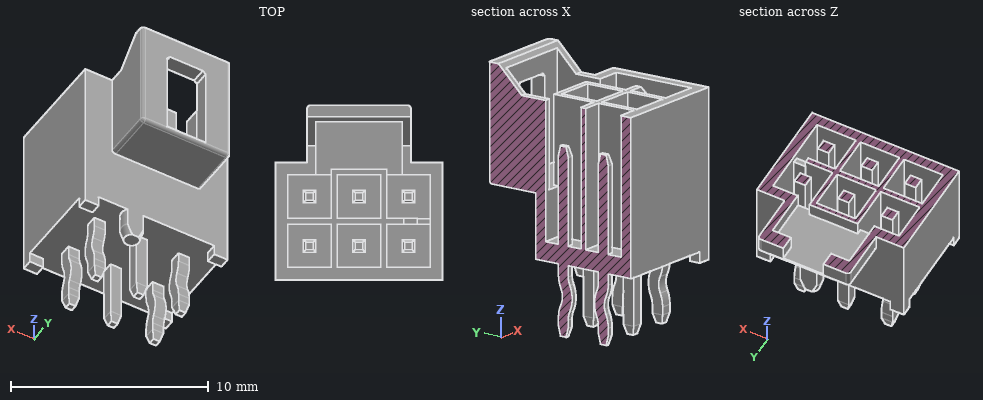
import cadquery as cq
import math


pitch = 2.5
column_places = (-pitch, 0, pitch)
row_places = (-pitch / 2, pitch / 2)

housing_width = 8.45
housing_front = -2.98
housing_back = 2.98
housing_top = 9.09
standoff = 0.59
standoff_gap_x = 6.85
standoff_gap_y = 4.75

column_wall = 0.29
row_wall = 0.32
cell_width = pitch - column_wall
cell_depth = pitch - row_wall
cell_floor = 1.65
cavity_right = pitch + cell_width / 2
cavity_back = pitch / 2 + cell_depth / 2

key_slope_start = 2.26
key_gap_start = 2.93
key_slope_height = key_gap_start - key_slope_start
key_rib_thickness = 0.29
key_rib_top = 4.66

tab_width = 5.26
tab_back = 5.87
tab_bottom = 4.07
tab_top = 10.52
tab_lip = 0.59
tab_slope_run = 1.45
tab_edge_radius = 0.19
tab_wall_back = 0.85
tab_inner_width = 4.37
tab_floor = 4.3
window_width = 2.28
window_top = 9.2
window_chamfer = 0.16

pin_size = 0.65
pin_tip_size = 0.37
pin_taper = 0.53
pin_top = 6.85
pin_bottom = -3.2
shank_top = pin_top - pin_taper
shank_bottom = pin_bottom + pin_taper
bend_radius = 1.37
bend_offset = 0.25
bend_center_z = -1.1

peg_x = pitch / 2
peg_y = 2.6
peg_diameter = 1.19
peg_tip_diameter = 0.82
peg_taper_start = -0.4
peg_bottom = -1.03


def block(x_min, x_max, y_min, y_max, z_min, z_max):
    """Box between the given limits."""
    size = (x_max - x_min, y_max - y_min, z_max - z_min)
    return cq.Workplane("XY").box(*size, centered=False).translate((x_min, y_min, z_min))


def wide_block(width, y_min, y_max, z_min, z_max):
    """Box centred on X = 0."""
    return block(-width / 2, width / 2, y_min, y_max, z_min, z_max)


def make_housing():
    """Solid housing standing on four corner feet."""
    housing = wide_block(housing_width, housing_front, housing_back, 0, housing_top)
    gap_y = standoff_gap_y / 2
    along_x = wide_block(housing_width, -gap_y, gap_y, 0, standoff)
    along_y = wide_block(standoff_gap_x, housing_front, housing_back, 0, standoff)
    return housing.cut(along_x).cut(along_y)


def make_tab():
    """Solid latch tab with rounded outer edges and a slope at its top."""
    tab = wide_block(tab_width, housing_back, tab_back, tab_bottom, tab_top)
    tab = tab.edges("(|Z and >Y) or (<Z and (not <Y))").fillet(tab_edge_radius)
    slope_start = tab_back - tab_lip
    slope_end = slope_start - tab_slope_run
    cutter = (
        cq.Workplane("YZ")
        .moveTo(slope_start, tab_top)
        .lineTo(slope_end, housing_top)
        .lineTo(housing_back, housing_top)
        .lineTo(housing_back, tab_top)
        .close()
        .extrude(tab_width / 2, both=True)
    )
    return tab.cut(cutter)


def make_tab_cavity():
    """Hollow of the tab, left solid where the back wall of the middle cell stands."""
    cavity = wide_block(tab_inner_width, cavity_back, tab_back - tab_wall_back, tab_floor, tab_top)
    middle_cell_wall = wide_block(
        cell_width + 2 * column_wall, cavity_back, cavity_back + column_wall, tab_floor, housing_top
    )
    return cavity.cut(middle_cell_wall)


def make_tab_window():
    """Opening through the back wall of the tab, chamfered at its top corners."""
    window = wide_block(window_width, tab_back - tab_wall_back, tab_back, tab_floor, window_top)
    return window.edges("|Y and >Z").chamfer(window_chamfer)


def make_cells():
    """Six square contact cells."""
    centers = [(x, y) for x in column_places for y in row_places]
    return (
        cq.Workplane("XY", origin=(0, 0, cell_floor))
        .pushPoints(centers)
        .rect(cell_width, cell_depth)
        .extrude(housing_top - cell_floor)
    )


def make_key_gap():
    """Gap in the row wall: a slope, then a drop to a thin rib."""
    opening = (
        cq.Workplane("XZ", origin=(0, row_wall / 2, 0))
        .moveTo(key_slope_start, housing_top)
        .lineTo(key_gap_start, housing_top - key_slope_height)
        .lineTo(key_gap_start, cell_floor)
        .lineTo(cavity_right, cell_floor)
        .lineTo(cavity_right, housing_top)
        .close()
        .extrude(row_wall)
    )
    rib_front = -row_wall / 2
    rib = block(
        key_gap_start, cavity_right, rib_front, rib_front + key_rib_thickness, cell_floor, key_rib_top
    )
    return opening.cut(rib)


def pin_tip(z_base, z_end):
    """Square taper from the pin section at z_base to the tip at z_end."""
    return (
        cq.Workplane("XY", origin=(0, 0, z_base))
        .rect(pin_size, pin_size)
        .workplane(offset=z_end - z_base)
        .rect(pin_tip_size, pin_tip_size)
        .loft(ruled=True)
    )


def straight_shank():
    """Square shank without a bend."""
    half = pin_size / 2
    return wide_block(pin_size, -half, half, shank_bottom, shank_top)


def bent_shank():
    """Shank with a bulge towards +Y made of equal tangent arcs about its centre line."""
    angle = math.acos(1 - bend_offset / (2 * bend_radius))
    half_length = 2 * bend_radius * math.sin(angle)

    def face_points(side):
        """Ends and middles of the three arcs of one face, from top to bottom."""
        root_radius = bend_radius - side
        crown_radius = bend_radius + side

        def root(turn, end):
            y = bend_radius - root_radius * math.cos(turn)
            return (y, bend_center_z + end * (half_length - root_radius * math.sin(turn)))

        crown = (bend_offset - bend_radius + crown_radius, bend_center_z)
        upper = [root(0, 1), root(angle / 2, 1), root(angle, 1)]
        lower = [root(angle, -1), root(angle / 2, -1), root(0, -1)]
        return upper + [crown] + lower

    half = pin_size / 2
    back = face_points(half)
    front = face_points(-half)[::-1]
    return (
        cq.Workplane("YZ")
        .moveTo(half, shank_top)
        .lineTo(*back[0])
        .threePointArc(back[1], back[2])
        .threePointArc(back[3], back[4])
        .threePointArc(back[5], back[6])
        .lineTo(half, shank_bottom)
        .lineTo(-half, shank_bottom)
        .lineTo(*front[0])
        .threePointArc(front[1], front[2])
        .threePointArc(front[3], front[4])
        .threePointArc(front[5], front[6])
        .lineTo(-half, shank_top)
        .close()
        .extrude(half, both=True)
    )


def make_pin(shank):
    """Shank with a taper at each end."""
    return shank.union(pin_tip(shank_top, pin_top)).union(pin_tip(shank_bottom, pin_bottom))


def make_peg():
    """Round peg with a tapered end, cut flat at the back of the housing."""
    radius = peg_diameter / 2
    peg = (
        cq.Workplane("XZ")
        .moveTo(0, standoff)
        .lineTo(radius, standoff)
        .lineTo(radius, peg_taper_start)
        .lineTo(peg_tip_diameter / 2, peg_bottom)
        .lineTo(0, peg_bottom)
        .close()
        .revolve(360, (0, 0, 0), (0, 1, 0))
        .translate((peg_x, peg_y, 0))
    )
    beyond_back = block(
        peg_x - radius, peg_x + radius, housing_back, housing_back + radius, peg_bottom, standoff
    )
    return peg.cut(beyond_back)


result = make_housing().union(make_tab())
result = result.cut(make_cells()).cut(make_key_gap())
result = result.cut(make_tab_cavity()).cut(make_tab_window())
result = result.union(make_peg())

straight_pin = make_pin(straight_shank())
bent_pin = make_pin(bent_shank())
for column_x in column_places:
    for row_y in row_places:
        pin = straight_pin if column_x == 0 else bent_pin
        if row_y > 0:
            pin = pin.rotate((0, 0, 0), (0, 0, 1), 180)
        result = result.union(pin.translate((column_x, row_y, 0)))